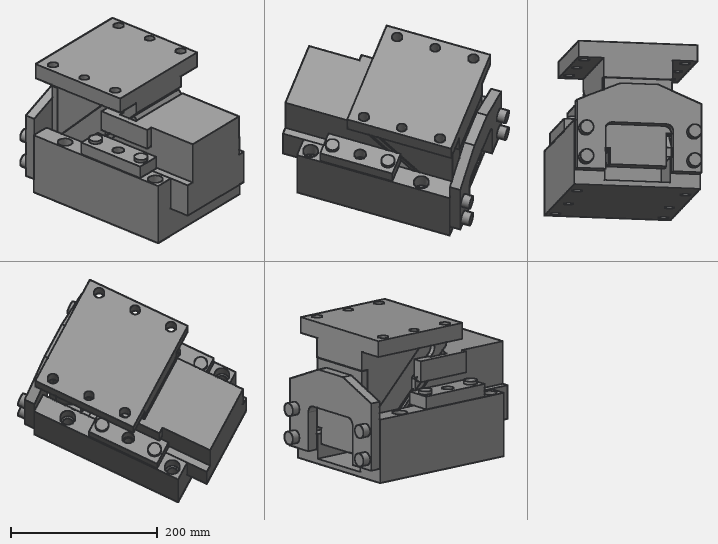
import cadquery as cq
import math


block_length = 220.2
block_width = 175.0
block_height = 89.7
tongue_slot_half = 45.5
slot_floor = 7.2
tongue_slot_end = 198.0
flange_slot_half = 60.0
flange_slot_floor = 42.0
mount_xs = (45.2, 205.0)
mount_y = 75.0
mount_bore_radius = 7.2
mount_head_radius = 10.2
mount_head_depth = 22.2

plate_thickness = 15.0
plate_half = 86.5
plate_bottom = 20.0
plate_shoulder = 115.0
plate_top = 140.0
plate_top_half = 26.3
window_half = 47.0
window_top = 85.3
window_radius = 10.0
screw_radius = 9.1
screw_height = 12.0
plate_screw_y = 75.0
plate_screw_zs = (35.0, 75.0)

strip_start = 83.0
strip_length = 104.2
strip_inner = 51.2
strip_outer = 86.1
strip_height = 18.0
strip_screw_inset = 12.0
strip_screw_height = 4.5
strip_hole_radius = 8.0
block_hole_radius = 6.6
hole_row_y = 70.0

driver_top = 200.0
driver_length = 149.9
top_plate_thickness = 22.5
top_plate_half = 82.5
corner_hole_radius = 7.2
middle_hole_radius = 6.6
top_hole_xs = (20.0, 75.0, 130.0)
driver_mid_y = -1.0
stem_half = 48.0
driver_bottom = 29.6
incline_rise = 11.5
recess_depth = 8.0
groove_radius = 12.7
groove_end_x = 116.3
groove_end_z = 162.0
rail_start = 95.0
side_relief_top = 49.9
side_relief_length = 33.0
pad_thickness = 10.0
pad_top = 149.9
pad_clearance = 0.8
pad_groove_notch_top = 75.3
pad_relief_notch_top = 52.4

slider_front = 48.5
ledge_front = 52.5
slider_end = 250.0
slider_top = pad_top
slider_half = 49.9
flange_half = flange_slot_half
wear_half = 47.6
wear_drop = 1.5
shoulder_front = 66.5
shoulder_height = 53.7
wear_shift = 10.2
flange_shift = 7.2
tongue_half = 42.7
tongue_bottom = 10.0
tongue_end = tongue_slot_end
tongue_radius = 10.0
hook_start = 96.5
hook_end = 177.3
hook_bottom = 120.2
hook_outer = 59.0
hook_key_inner = 45.0

stem_top = driver_top - top_plate_thickness
groove_side_y = driver_mid_y - stem_half
relief_side_y = driver_mid_y + stem_half
wear_rise = incline_rise - wear_drop


def box(x0, x1, y0, y1, z0, z1):
    """Box between two opposite corners."""
    return cq.Workplane("XY").box(x1 - x0, y1 - y0, z1 - z0, centered=False).translate((x0, y0, z0))


def side_prism(points, y0, y1):
    """Prism of an XZ outline, spanning y0 to y1."""
    return cq.Workplane("XZ", origin=(0, y1, 0)).polyline(points).close().extrude(y1 - y0)


def z_cylinder(x, y, z, radius, height):
    """Upright cylinder with the middle of its base at (x, y, z)."""
    return cq.Workplane("XY", origin=(x, y, z)).circle(radius).extrude(height)


def make_stop_plate():
    outline = [
        (-plate_half, plate_bottom),
        (plate_half, plate_bottom),
        (plate_half, plate_shoulder),
        (plate_top_half, plate_top),
        (-plate_top_half, plate_top),
        (-plate_half, plate_shoulder),
    ]
    plate = cq.Workplane("YZ").polyline(outline).close().extrude(-plate_thickness)
    window = box(-plate_thickness, 0, -window_half, window_half, 0, window_top)
    plate = plate.cut(window.edges("|X and >Z").fillet(window_radius))
    heads = (
        cq.Workplane("YZ", origin=(-plate_thickness, 0, 0))
        .pushPoints([(y, z) for y in (-plate_screw_y, plate_screw_y) for z in plate_screw_zs])
        .circle(screw_radius)
        .extrude(-screw_height)
    )
    return plate.union(heads)


def make_guide_strip(side):
    """Hold-down strip with two screw heads; side is -1 or 1 along Y."""
    y0, y1 = sorted((side * strip_inner, side * strip_outer))
    strip_end = strip_start + strip_length
    strip_top = block_height + strip_height
    strip = box(strip_start, strip_end, y0, y1, block_height, strip_top)
    for x in (strip_start + strip_screw_inset, strip_end - strip_screw_inset):
        strip = strip.union(z_cylinder(x, side * hole_row_y, strip_top, screw_radius, strip_screw_height))
    return strip


def make_housing():
    half = block_width / 2
    housing = box(0, block_length, -half, half, 0, block_height)
    housing = housing.cut(
        box(0, tongue_slot_end, -tongue_slot_half, tongue_slot_half, slot_floor, block_height)
    )
    housing = housing.cut(
        box(0, block_length, -flange_slot_half, flange_slot_half, flange_slot_floor, block_height)
    )
    housing = housing.union(make_stop_plate())
    strip_hole_x = strip_start + strip_length / 2
    for side in (-1, 1):
        for x in mount_xs:
            housing = housing.cut(z_cylinder(x, side * mount_y, 0, mount_bore_radius, block_height))
            head_floor = block_height - mount_head_depth
            housing = housing.cut(
                z_cylinder(x, side * mount_y, head_floor, mount_head_radius, mount_head_depth)
            )
        housing = housing.union(make_guide_strip(side))
        housing = housing.cut(
            z_cylinder(strip_hole_x, side * hole_row_y, 0, block_hole_radius, block_height)
        )
        housing = housing.cut(
            z_cylinder(strip_hole_x, side * hole_row_y, block_height, strip_hole_radius, strip_height)
        )
    return housing


def make_side_groove():
    """Round-ended 45 degree groove, widened to the incline in front of the rail."""
    reach = groove_end_x * 2 * math.sqrt(2)
    y0 = groove_side_y
    y1 = groove_side_y + recess_depth
    bar = cq.Workplane("XY").box(reach, y1 - y0, 2 * groove_radius, centered=(True, False, True))
    bar = bar.translate((-reach / 2, 0, 0)).rotate((0, 0, 0), (0, 1, 0), -45)
    groove = bar.translate((groove_end_x, y0, groove_end_z))
    round_end = (
        cq.Workplane("XZ", origin=(groove_end_x, y1, groove_end_z))
        .circle(groove_radius)
        .extrude(recess_depth)
    )
    axis_rise = groove_end_z - groove_end_x
    open_front = side_prism(
        [(rail_start, rail_start + axis_rise), (rail_start, 0), (-axis_rise, 0)], y0, y1
    )
    return groove.union(round_end).union(open_front)


def make_wear_pad():
    """Pad on the front of the driver, notched at both lower corners."""
    y0 = groove_side_y + pad_clearance
    y1 = relief_side_y - pad_clearance
    pad = box(0, pad_thickness, y0, y1, driver_bottom, pad_top)
    pad = pad.cut(box(0, pad_thickness, y0, y0 + recess_depth, 0, pad_groove_notch_top))
    return pad.cut(box(0, pad_thickness, y1 - recess_depth, y1, 0, pad_relief_notch_top))


def make_driver():
    stem = side_prism(
        [
            (pad_thickness, driver_bottom),
            (pad_thickness, pad_top + pad_clearance),
            (0, pad_top + pad_clearance),
            (0, stem_top),
            (driver_length, stem_top),
            (driver_length, driver_length + incline_rise),
            (driver_bottom - incline_rise, driver_bottom),
        ],
        groove_side_y,
        relief_side_y,
    )
    stem = stem.cut(make_side_groove())
    relief = [
        (0, 0),
        (0, side_relief_top),
        (side_relief_length, side_relief_top),
        (side_relief_length + side_relief_top, 0),
    ]
    stem = stem.cut(side_prism(relief, relief_side_y - recess_depth, relief_side_y))
    driver = stem.union(make_wear_pad())
    driver = driver.union(
        box(
            0, driver_length,
            driver_mid_y - top_plate_half, driver_mid_y + top_plate_half,
            stem_top, driver_top,
        )
    )
    hole_radii = (corner_hole_radius, middle_hole_radius, corner_hole_radius)
    for x, radius in zip(top_hole_xs, hole_radii):
        for y in (-hole_row_y, hole_row_y):
            driver = driver.cut(z_cylinder(x, y, stem_top, radius, top_plate_thickness))
    return driver


def inclined_block(rise, half, top, end):
    """Block above the flange underside, whose 45 degree front face stands at height rise at X = 0."""
    outline = [
        (slider_front, flange_slot_floor),
        (slider_front, slider_front + rise),
        (top - rise, top),
        (end, top),
        (end, flange_slot_floor),
    ]
    return side_prism(outline, -half, half)


def inclined_layer(rise, half):
    """Inclined layer with a square upper end that stands above the slider body."""
    tip_x = slider_top - rise + wear_shift / 2
    heel_x = tip_x + wear_shift / 2
    outline = [
        (slider_front, flange_slot_floor),
        (slider_front, slider_front + rise),
        (tip_x, tip_x + rise),
        (heel_x, tip_x + rise - wear_shift / 2),
        (heel_x, flange_slot_floor),
    ]
    return side_prism(outline, -half, half)


def make_hook():
    """Side plate with a key that rides on the driver rail inside its groove."""
    hook = box(hook_start, hook_end, -hook_outer, -slider_half, hook_bottom, slider_top)
    rail_rise = groove_end_z - groove_end_x - groove_radius * math.sqrt(2)
    key = side_prism(
        [
            (hook_start, hook_start + rail_rise),
            (hook_start, slider_top),
            (slider_top - rail_rise, slider_top),
        ],
        -slider_half,
        -hook_key_inner,
    )
    return hook.union(key)


def make_slider():
    slider = inclined_block(wear_rise - wear_shift, slider_half, slider_top, slider_end)
    slider = slider.union(inclined_block(wear_rise - flange_shift, flange_half, block_height, slider_end))
    slider = slider.union(inclined_layer(wear_rise, wear_half))
    slider = slider.cut(
        box(0, shoulder_front, -flange_half, flange_half, shoulder_height, block_height)
    )
    slider = slider.cut(box(0, ledge_front, -flange_half, flange_half, flange_slot_floor, shoulder_height))
    slider = slider.union(inclined_layer(incline_rise, tongue_half))
    tongue = box(slider_front, tongue_end, -tongue_half, tongue_half, tongue_bottom, flange_slot_floor)
    slider = slider.union(tongue.edges("|X and <Z").fillet(tongue_radius))
    return slider.union(make_hook())


housing = make_housing()
driver = make_driver()
slider = make_slider()

result = cq.Compound.makeCompound([housing.solids().val(), driver.solids().val(), slider.solids().val()])